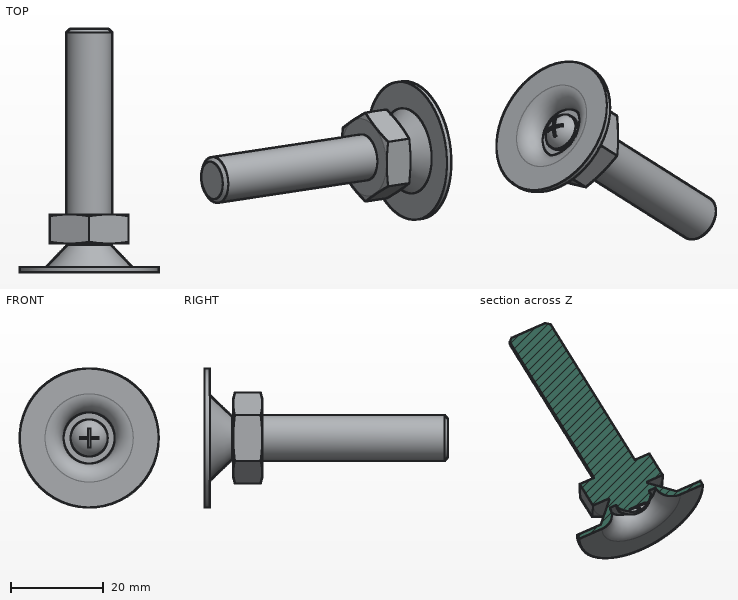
import cadquery as cq
import math

total_length = 52.5
stem_diameter = 10.0
stem_length = 40.0
stem_chamfer_length = 0.8
stem_tip_diameter = 8.16

flange_diameter = 30.0
flange_thickness = 1.2
cone_base_diameter = 18.5
neck_diameter = 9.4
neck_length = 0.25

hex_across_flats = 17.0
hex_height = 6.3
hex_chamfer_angle = math.radians(15)
hex_washer_face_diameter = 16.8

recess_floor_diameter = 11.0
recess_mouth_radius = 4.0

dome_diameter = 8.0
dome_rim_height = 0.8
dome_cap_height = 2.5
cross_length = 4.0
cross_width = 0.5
cross_depth = 1.0

hex_end = total_length - stem_length
hex_start = hex_end - hex_height
neck_start = hex_start - neck_length
hex_across_corners = hex_across_flats / math.cos(math.pi / 6)
recess_depth = recess_mouth_radius
dome_rim = recess_depth - dome_rim_height
dome_apex = dome_rim - dome_cap_height


def revolve_about_y(profile):
    """Revolve a closed XY profile a full turn about the Y axis."""
    return profile.close().revolve(360, (0, 0, 0), (0, 1, 0))


def flange_and_cone():
    """Thin round flange, the cone behind it and the short neck under the hexagon."""
    return revolve_about_y(
        cq.Workplane("XY")
        .lineTo(flange_diameter / 2, 0)
        .lineTo(flange_diameter / 2, flange_thickness)
        .lineTo(cone_base_diameter / 2, flange_thickness)
        .lineTo(neck_diameter / 2, neck_start)
        .lineTo(neck_diameter / 2, hex_start)
        .lineTo(0, hex_start)
    )


def recess():
    """Trumpet-shaped hollow: its wall curves from the flange face until it is square to the floor."""
    floor_radius = recess_floor_diameter / 2
    mouth_outer_radius = floor_radius + recess_mouth_radius
    arc_offset = recess_mouth_radius * math.sqrt(0.5)
    arc_middle = (mouth_outer_radius - arc_offset, recess_mouth_radius - arc_offset)
    return revolve_about_y(
        cq.Workplane("XY")
        .lineTo(mouth_outer_radius, 0)
        .threePointArc(arc_middle, (floor_radius, recess_depth))
        .lineTo(0, recess_depth)
    )


def hexagon():
    """Hexagon with corners on +Z and -Z, both ends chamfered by a cone."""
    base = cq.Plane(origin=(0, hex_start, 0), xDir=(0, 0, 1), normal=(0, 1, 0))
    prism = cq.Workplane(base).polygon(6, hex_across_corners).extrude(hex_height)

    face_radius = hex_washer_face_diameter / 2
    corner_radius = hex_across_corners / 2
    chamfer_drop = (corner_radius - face_radius) * math.tan(hex_chamfer_angle)
    envelope = revolve_about_y(
        cq.Workplane("XY")
        .moveTo(0, hex_start)
        .lineTo(face_radius, hex_start)
        .lineTo(corner_radius, hex_start + chamfer_drop)
        .lineTo(corner_radius, hex_end - chamfer_drop)
        .lineTo(face_radius, hex_end)
        .lineTo(0, hex_end)
    )
    return prism.intersect(envelope)


def stem():
    """Plain round stem with a chamfered free end."""
    stem_radius = stem_diameter / 2
    return revolve_about_y(
        cq.Workplane("XY")
        .moveTo(0, hex_end)
        .lineTo(stem_radius, hex_end)
        .lineTo(stem_radius, total_length - stem_chamfer_length)
        .lineTo(stem_tip_diameter / 2, total_length)
        .lineTo(0, total_length)
    )


def dome():
    """Spherical cap on a short round rim, standing on the recess floor."""
    dome_radius = dome_diameter / 2
    sphere_radius = (dome_radius**2 + dome_cap_height**2) / (2 * dome_cap_height)
    sphere_center = dome_apex + sphere_radius
    half_angle = math.asin(dome_radius / sphere_radius) / 2
    arc_middle = (sphere_radius * math.sin(half_angle), sphere_center - sphere_radius * math.cos(half_angle))
    return revolve_about_y(
        cq.Workplane("XY")
        .moveTo(0, dome_apex)
        .threePointArc(arc_middle, (dome_radius, dome_rim))
        .lineTo(dome_radius, recess_depth)
        .lineTo(0, recess_depth)
    )


def cross_slot():
    """Two crossing slots sunk into the tip of the dome."""
    slot_floor = dome_apex + cross_depth
    base = cq.Workplane("XZ", origin=(0, slot_floor, 0))
    level_bar = base.rect(cross_length, cross_width).extrude(slot_floor)
    upright_bar = base.rect(cross_width, cross_length).extrude(slot_floor)
    return level_bar.union(upright_bar)


foot = flange_and_cone().cut(recess())
screw_head = dome().cut(cross_slot())
result = foot.union(screw_head).union(hexagon()).union(stem())